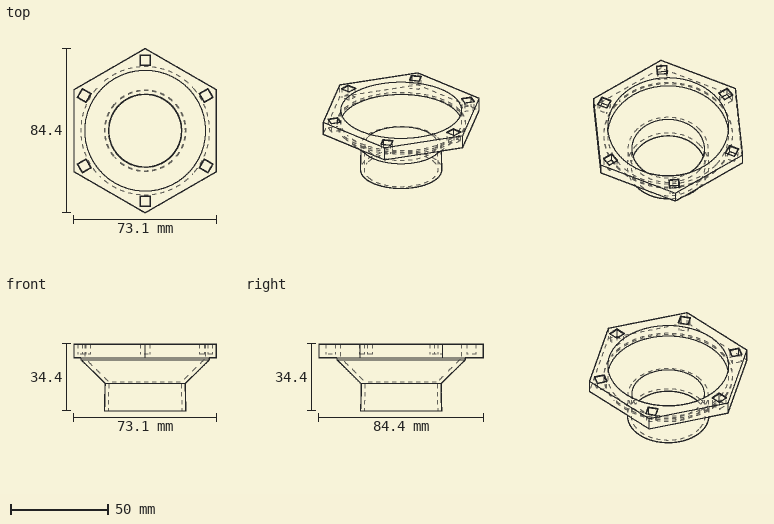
import cadquery as cq
import math

corner_count = 6
first_corner_angle = 90
plate_across_flats = 73.06
plate_across_corners = plate_across_flats / math.cos(math.pi / corner_count)
plate_thickness = 7.0

wall = 2.0
mouth_radius = 31.0
collar_height = 1.0
neck_top_radius = 18.6
neck_end_radius = 18.93
cone_height = 12.2
neck_height = 14.2

pocket_circle_radius = 36.1
pocket_side = 4.8
pocket_depth = 5.0
pocket_chamfer = 0.25

cone_bottom_z = neck_height
cone_top_z = cone_bottom_z + cone_height
plate_bottom_z = cone_top_z + collar_height
plate_top_z = plate_bottom_z + plate_thickness

cone_angle = math.atan2(cone_height, mouth_radius - neck_top_radius)
inner_cone_rise = wall * math.tan((math.pi / 2 - cone_angle) / 2)


def make_plate():
    """Hexagonal plate with its first corner on the +Y axis."""
    return (
        cq.Workplane("XY", origin=(0, 0, plate_bottom_z))
        .polygon(corner_count, plate_across_corners)
        .extrude(plate_thickness)
        .rotate((0, 0, 0), (0, 0, 1), first_corner_angle)
    )


def make_funnel(offset, cone_rise):
    """Solid filling the funnel bore, grown outward by offset, with its cone raised by cone_rise."""
    profile = [
        (0, 0),
        (neck_end_radius + offset, 0),
        (neck_top_radius + offset, cone_bottom_z + cone_rise),
        (mouth_radius + offset, cone_top_z + cone_rise),
        (mouth_radius + offset, plate_top_z),
        (0, plate_top_z),
    ]
    return cq.Workplane("XZ").polyline(profile).close().revolve(360, (0, 0), (0, 1))


def make_pocket(angle):
    """Square pocket with a chamfered mouth, placed at the given angle."""
    mouth_side = pocket_side + 2 * pocket_chamfer
    top = cq.Workplane("XY", origin=(pocket_circle_radius, 0, plate_top_z))
    shaft = top.rect(pocket_side, pocket_side).extrude(-pocket_depth)
    mouth = (
        top.rect(mouth_side, mouth_side)
        .workplane(offset=-pocket_chamfer)
        .rect(pocket_side, pocket_side)
        .loft(ruled=True)
    )
    return shaft.union(mouth).rotate((0, 0, 0), (0, 0, 1), angle)


outer_funnel = make_funnel(wall, 0)
bore = make_funnel(0, inner_cone_rise)
result = make_plate().union(outer_funnel).cut(bore)
for index in range(corner_count):
    result = result.cut(make_pocket(first_corner_angle + index * 360 / corner_count))